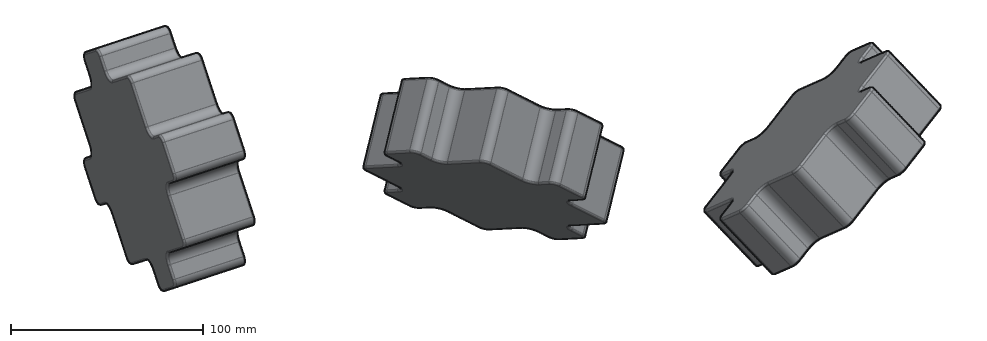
import cadquery as cq
import math

tip_span = 130.0
thickness = 41.6
corner_radius = 4.4
root_radius = 5.9
tooth_span = 131.1
tooth_width = 25.9
rim_radius = 1.2
body_turn = 45

tip_loss = corner_radius * (math.sqrt(2) - 1)
body_side = math.sqrt(2) * (tip_span / 2 + tip_loss)


def rounded_bar(length, width):
    """Block centred on the origin with its four edges along Y rounded."""
    block = cq.Workplane("XZ").rect(length, width).extrude(thickness / 2, both=True)
    return block.edges("|Y").fillet(corner_radius)


def root_points():
    """Centres of the eight edges where a tooth flank meets the body."""
    body_face = body_side / 2
    flank = tooth_width / 2
    return [
        (x_sign * x, 0, z_sign * z)
        for x, z in ((body_face, flank), (flank, body_face))
        for x_sign in (1, -1)
        for z_sign in (1, -1)
    ]


wheel = rounded_bar(body_side, body_side)
wheel = wheel.union(rounded_bar(tooth_span, tooth_width))
wheel = wheel.union(rounded_bar(tooth_width, tooth_span))

for point in root_points():
    root_edge = wheel.edges("|Y").edges(cq.NearestToPointSelector(point))
    wheel = root_edge.fillet(root_radius)

wheel = wheel.faces("<Y or >Y").edges().fillet(rim_radius)

result = wheel.rotate((0, 0, 0), (0, 1, 0), body_turn)